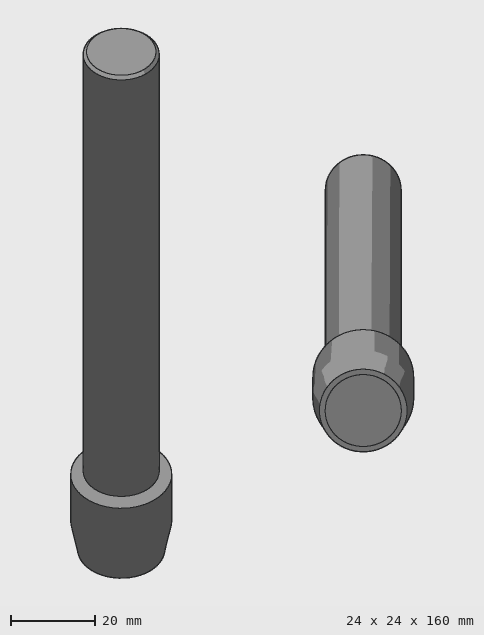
import cadquery as cq

total_length = 160.0
rod_diameter = 18.0
rod_chamfer = 0.8

sleeve_diameter = 24.0
sleeve_foot_diameter = 20.8
foot_height = 9.0
shoulder_height = 24.0
sleeve_height = 25.1

rod_radius = rod_diameter / 2
sleeve_radius = sleeve_diameter / 2
sleeve_foot_radius = sleeve_foot_diameter / 2


def make_rod():
    """Straight round rod with a chamfered top edge."""
    return (
        cq.Workplane("XY")
        .circle(rod_radius)
        .extrude(total_length)
        .faces(">Z")
        .chamfer(rod_chamfer)
    )


def make_sleeve():
    """Turned sleeve: tapered foot, straight band and sloping shoulder, bored to fit the rod."""
    return (
        cq.Workplane("XZ")
        .moveTo(rod_radius, 0)
        .lineTo(sleeve_foot_radius, 0)
        .lineTo(sleeve_radius, foot_height)
        .lineTo(sleeve_radius, shoulder_height)
        .lineTo(rod_radius, sleeve_height)
        .close()
        .revolve(360, (0, 0, 0), (0, 1, 0))
    )


rod = make_rod()
sleeve = make_sleeve()

result = cq.Compound.makeCompound([rod.val(), sleeve.val()])